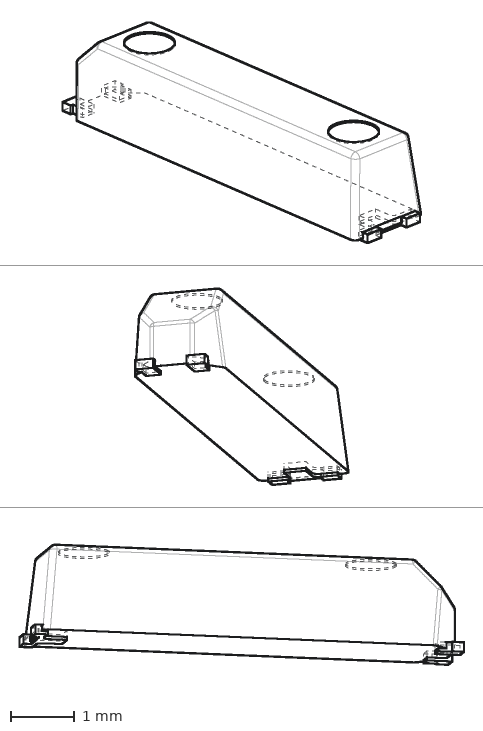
import cadquery as cq
import math

LENGTH = 6.9
WIDTH = 1.5
HEIGHT = 1.45

STANDOFF = 0.05
NOSE_X = -3.36
TAIL_X = 3.345
NOSE_TOP_Z = 0.745
CORNER_CHAMFER = 0.41
DRAFT_ANGLE = 6.0
EDGE_RADIUS = 0.1

MARK_DIAMETER = 0.8
MARK_DEPTH = 0.03
MARK_CENTERS_X = (-2.08, 2.54)

TERMINAL_HEIGHT = 0.15
FINGER_OUTER_Y = 0.57
FINGER_WIDTH = 0.3
FRONT_FINGER_LENGTH = 0.185
FRONT_TERMINAL_LENGTH = 0.41
FRONT_SHOULDER = 0.05
BAR_FRONT_X = 3.24
BAR_REAR_X = 3.325
TONGUE_FRONT_X = 2.85
TONGUE_WIDTH = 0.36
TONGUE_RADIUS = 0.1

FINGER_INNER_Y = FINGER_OUTER_Y - FINGER_WIDTH


def make_housing_block():
    """Drafted block: the common volume of a side, an end and a plan prism."""
    draft_inset = (HEIGHT - STANDOFF) * math.tan(math.radians(DRAFT_ANGLE))
    half_width = WIDTH / 2
    side_prism = (
        cq.Workplane("XZ")
        .polyline([
            (NOSE_X, STANDOFF),
            (TAIL_X, STANDOFF),
            (TAIL_X - draft_inset, HEIGHT),
            (NOSE_X + HEIGHT - NOSE_TOP_Z, HEIGHT),
            (NOSE_X, NOSE_TOP_Z),
        ])
        .close()
        .extrude(half_width, both=True)
    )
    end_prism = (
        cq.Workplane("YZ")
        .polyline([
            (-half_width, STANDOFF),
            (half_width, STANDOFF),
            (half_width - draft_inset, HEIGHT),
            (draft_inset - half_width, HEIGHT),
        ])
        .close()
        .extrude(LENGTH / 2, both=True)
    )
    plan_prism = (
        cq.Workplane("XY")
        .polyline([
            (NOSE_X, CORNER_CHAMFER - half_width),
            (NOSE_X + CORNER_CHAMFER, -half_width),
            (TAIL_X, -half_width),
            (TAIL_X, half_width),
            (NOSE_X + CORNER_CHAMFER, half_width),
            (NOSE_X, half_width - CORNER_CHAMFER),
        ])
        .close()
        .extrude(HEIGHT)
    )
    return side_prism.intersect(end_prism).intersect(plan_prism)


def make_front_terminal(side):
    """Stepped front terminal; side is +1 for the +Y one and -1 for the -Y one."""
    outer_x = -LENGTH / 2
    shoulder_x = outer_x + FRONT_FINGER_LENGTH
    inner_x = outer_x + FRONT_TERMINAL_LENGTH
    inner_y = side * FINGER_INNER_Y
    outer_y = side * FINGER_OUTER_Y
    shoulder_y = side * (FINGER_OUTER_Y - FRONT_SHOULDER)
    return (
        cq.Workplane("XY")
        .polyline([
            (outer_x, inner_y),
            (inner_x, inner_y),
            (inner_x, shoulder_y),
            (shoulder_x, shoulder_y),
            (shoulder_x, outer_y),
            (outer_x, outer_y),
        ])
        .close()
        .extrude(TERMINAL_HEIGHT)
    )


def make_plate(start_x, end_x, start_y, end_y):
    """Plate of terminal thickness between two opposite plan corners."""
    return cq.Workplane("XY").box(
        end_x - start_x, end_y - start_y, TERMINAL_HEIGHT, centered=False
    ).translate((start_x, start_y, 0))


def make_rear_terminal():
    """Cross bar with two outward fingers and a tongue under the housing."""
    half_tongue = TONGUE_WIDTH / 2
    terminal = make_plate(BAR_FRONT_X, BAR_REAR_X, -FINGER_OUTER_Y, FINGER_OUTER_Y)
    tongue = make_plate(TONGUE_FRONT_X, BAR_FRONT_X, -half_tongue, half_tongue)
    terminal = terminal.union(tongue)
    for start_y in (-FINGER_OUTER_Y, FINGER_INNER_Y):
        finger = make_plate(BAR_REAR_X, LENGTH / 2, start_y, start_y + FINGER_WIDTH)
        terminal = terminal.union(finger)
    terminal = terminal.clean()
    tongue_corners = cq.selectors.BoxSelector(
        (TONGUE_FRONT_X + TONGUE_RADIUS, -FINGER_INNER_Y, 0),
        ((BAR_FRONT_X + BAR_REAR_X) / 2, FINGER_INNER_Y, TERMINAL_HEIGHT),
    )
    return terminal.edges("|Z").edges(tongue_corners).fillet(TONGUE_RADIUS)


def make_housing(terminals):
    """Rounded housing with its top marks and a matching recess for each terminal."""
    housing = make_housing_block()
    housing = housing.edges("not(<Z)").fillet(EDGE_RADIUS)
    marks = (
        cq.Workplane("XY", origin=(0, 0, HEIGHT - MARK_DEPTH))
        .pushPoints([(center_x, 0) for center_x in MARK_CENTERS_X])
        .circle(MARK_DIAMETER / 2)
        .extrude(2 * MARK_DEPTH)
    )
    housing = housing.cut(marks)
    for terminal in terminals:
        housing = housing.cut(terminal)
    return housing


front_terminals = [make_front_terminal(side) for side in (-1, 1)]
rear_terminal = make_rear_terminal()
housing = make_housing([*front_terminals, rear_terminal])

result = cq.Compound.makeCompound([
    housing.val(),
    rear_terminal.val(),
    *[terminal.val() for terminal in front_terminals],
])